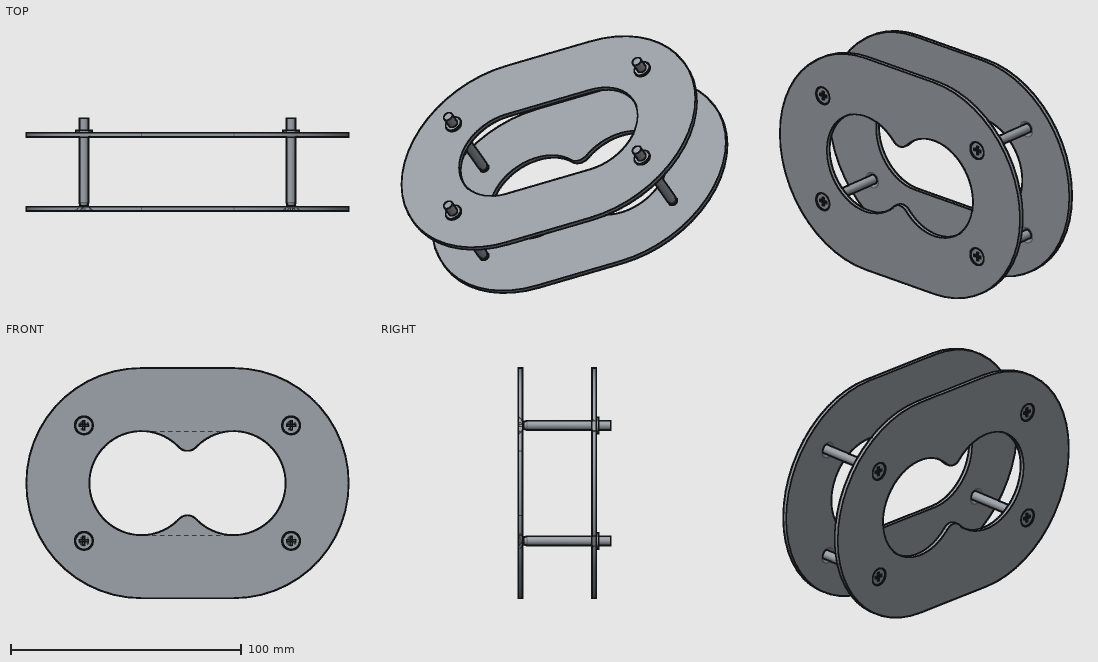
import cadquery as cq
import math

overall_length = 140.0
plate_height = 100.0
plate_thickness = 2.0
rear_plate_y = 32.0
lobe_spacing = overall_length - plate_height

lobe_radius = 22.5
waist_fillet = 5.0

screw_half_pitch_x = 45.0
screw_half_pitch_z = 25.0
screw_places = [(x, z) for x in (-screw_half_pitch_x, screw_half_pitch_x)
                for z in (-screw_half_pitch_z, screw_half_pitch_z)]

shank_diameter = 4.0
neck_diameter = 3.2
seat_diameter = 8.0
head_y = 0.3
neck_y = (seat_diameter - neck_diameter) / 2
shank_y = 3.8
head_diameter = seat_diameter - 2 * head_y
tip_y = 40.3
cross_length = 3.9
cross_width = 0.8
cross_depth = (cross_length - cross_width) / 2

collar_diameter = 7.1
entry_radius = 1.5
collar_height = 1.0


def facing_rear(y):
    """Sketch plane at the given y whose extrusions grow along +Y; local (x, y) is (X, -Z)."""
    return cq.Workplane("XZ", origin=(0, y, 0)).transformed(rotate=(180, 0, 0))


def cylinder(diameter, y_start, length):
    return facing_rear(y_start).circle(diameter / 2).extrude(length)


def spun(half_profile):
    """Close an XY profile and revolve it about the Y axis."""
    return half_profile.close().revolve(360, (0, 0), (0, 1))


def revolved(points):
    """Revolve straight lines through (radius, y) points about the Y axis."""
    return spun(cq.Workplane("XY").polyline(points))


def stadium(radius, y_start):
    """Stadium-shaped slab with end arcs of the given radius on the lobe centres."""
    length = lobe_spacing + 2 * radius
    return facing_rear(y_start).slot2D(length, 2 * radius).extrude(plate_thickness)


def at_place(shape, place):
    x, z = place
    return shape.translate((x, 0, z))


def figure_eight():
    """Two round lobes joined by a waist that is rounded by arcs tangent to both lobes."""
    lobe_x = lobe_spacing / 2
    fillet_z = math.sqrt((lobe_radius + waist_fillet) ** 2 - lobe_x ** 2)
    waist_z = fillet_z - waist_fillet
    tangent_x = lobe_x * waist_fillet / (lobe_radius + waist_fillet)
    tangent_z = fillet_z * lobe_radius / (lobe_radius + waist_fillet)
    end_x = lobe_x + lobe_radius
    return (
        facing_rear(0)
        .moveTo(-tangent_x, tangent_z)
        .threePointArc((0, waist_z), (tangent_x, tangent_z))
        .threePointArc((end_x, 0), (tangent_x, -tangent_z))
        .threePointArc((0, -waist_z), (-tangent_x, -tangent_z))
        .threePointArc((-end_x, 0), (-tangent_x, tangent_z))
        .close()
        .extrude(plate_thickness)
    )


def screw_blank():
    """Turned screw without its cross recess."""
    return revolved([
        (0, head_y),
        (head_diameter / 2, head_y),
        (neck_diameter / 2, neck_y),
        (shank_diameter / 2, shank_y),
        (shank_diameter / 2, tip_y),
        (0, tip_y),
    ])


def make_front_plate():
    plate = stadium(plate_height / 2, 0).cut(figure_eight())
    head_seat = revolved([
        (0, 0),
        (seat_diameter / 2, 0),
        (neck_diameter / 2, neck_y),
        (0, neck_y),
    ])
    for place in screw_places:
        plate = plate.cut(at_place(head_seat, place))
    return plate


def make_rear_plate():
    plate = stadium(plate_height / 2, rear_plate_y).cut(stadium(lobe_radius, rear_plate_y))
    collar = cylinder(collar_diameter, rear_plate_y + plate_thickness, collar_height)
    rear_y = rear_plate_y + plate_thickness + collar_height
    hole_radius = shank_diameter / 2
    arc_offset = entry_radius * (1 - math.sqrt(0.5))
    screw_hole = spun(
        cq.Workplane("XY")
        .moveTo(0, rear_plate_y)
        .lineTo(hole_radius + entry_radius, rear_plate_y)
        .threePointArc(
            (hole_radius + arc_offset, rear_plate_y + arc_offset),
            (hole_radius, rear_plate_y + entry_radius),
        )
        .lineTo(hole_radius, rear_y)
        .lineTo(0, rear_y)
    )
    for place in screw_places:
        plate = plate.union(at_place(collar, place)).cut(at_place(screw_hole, place))
    return plate


def cross_recess():
    """Two crossed slots whose ends slope in to a square floor in the middle."""
    half_length = cross_length / 2
    half_width = cross_width / 2
    floor_y = head_y + cross_depth
    slot = (
        cq.Workplane("XY")
        .polyline([
            (-half_length, head_y),
            (half_length, head_y),
            (half_width, floor_y),
            (-half_width, floor_y),
        ])
        .close()
        .extrude(half_width, both=True)
    )
    return slot.union(slot.rotate((0, 0, 0), (0, 1, 0), 90))


def make_screw(place):
    return at_place(screw_blank().cut(cross_recess()), place)


front_plate = make_front_plate()
rear_plate = make_rear_plate()
screws = [make_screw(place) for place in screw_places]

result = cq.Compound.makeCompound([
    front_plate.val(),
    rear_plate.val(),
    *[screw.val() for screw in screws],
])